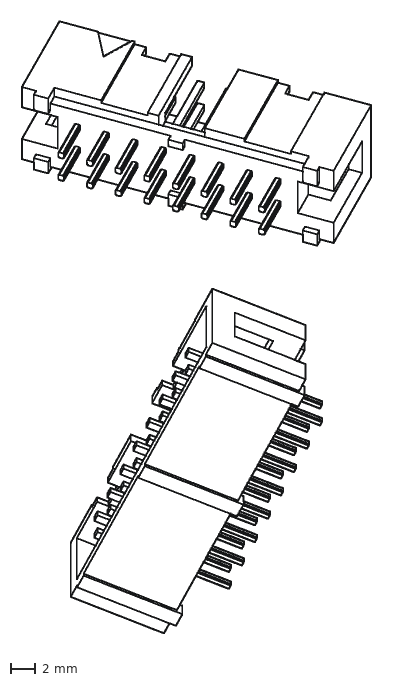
import cadquery as cq
import math

PITCH = 2.54
COLUMNS = 8
PINS_PER_COLUMN = 2

LENGTH = 27.64
DEPTH = 8.5
TOP = 8.5
RAIL_HEIGHT = 0.3
MID_Z = (TOP + RAIL_HEIGHT) / 2

WALL = 1.0
END_WALL = 1.2
BASE_THICKNESS = 2.4
CAVITY_LENGTH = LENGTH - 2 * END_WALL
CAVITY_TOP = TOP - WALL
CAVITY_BOTTOM = RAIL_HEIGHT + WALL

WINDOW_HEIGHT = 3.58
WINDOW_END_Y = 6.45
WINDOW_INNER_X = 10.64

LEDGE_DEPTH = 0.9
KEY_SLOT_WIDTH = 4.1
KEY_SLOT_FLOOR = 6.5
RECESS_WIDTH = 4.12
RECESS_DEPTH = 0.3
RECESS_CENTRES = (-2 * PITCH, 3 * PITCH)
LATCH_NOTCH_WIDTH = 2.08
LATCH_NOTCH_LENGTH = 1.0

MARK_WIDTH = 3.0
MARK_LENGTH = MARK_WIDTH * math.sin(math.radians(60))
MARK_DEPTH = 0.1

FOOT_WIDTH = 1.27
FOOT_LENGTH = 0.5
FOOT_OFFSET = 11.92
UPPER_FOOT_BOTTOM = 6.75
LOWER_FOOT_TOP = 1.3
LEDGE_LENGTH = 2 * FOOT_OFFSET - FOOT_WIDTH

POST_SIZE = 0.62
TAIL_WIDTH = 0.52
TAIL_HEIGHT = 0.6
TAIL_CHAMFER = 0.1
TAIL_LENGTH = 3.7
POST_TIP_Y = DEPTH


def block(x_range, y_range, z_range):
    """Box spanning the given (low, high) limits on each axis."""
    spans = [high - low for low, high in (x_range, y_range, z_range)]
    corner = (x_range[0], y_range[0], z_range[0])
    return cq.Workplane("XY").box(*spans, centered=False).translate(corner)


def centred(middle, width):
    """Limits of a span of the given width about its middle."""
    return (middle - width / 2, middle + width / 2)


def make_shell():
    """Housing block with the mating cavity hollowed out from the +Y side."""
    outer = block(centred(0, LENGTH), (0, DEPTH), (RAIL_HEIGHT, TOP))
    cavity = block(centred(0, CAVITY_LENGTH), (BASE_THICKNESS, DEPTH), (CAVITY_BOTTOM, CAVITY_TOP))
    return outer.cut(cavity)


def cut_end_windows(body):
    """Windows through the end walls that continue as slots through the base."""
    for low_x, high_x in ((-LENGTH / 2, -WINDOW_INNER_X), (WINDOW_INNER_X, LENGTH / 2)):
        body = body.cut(block((low_x, high_x), (0, WINDOW_END_Y), centred(MID_Z, WINDOW_HEIGHT)))
    return body


def cut_top_wall(body):
    """Tail-side ledge, polarising slot, and latch recesses with their mouth notches."""
    top_wall = (CAVITY_TOP, TOP)
    body = body.cut(block(centred(0, LEDGE_LENGTH), (0, LEDGE_DEPTH), top_wall))
    body = body.cut(block(centred(0, KEY_SLOT_WIDTH), (LEDGE_DEPTH, DEPTH), (KEY_SLOT_FLOOR, TOP)))
    for x in RECESS_CENTRES:
        body = body.cut(block(centred(x, RECESS_WIDTH), (0, DEPTH), (TOP - RECESS_DEPTH, TOP)))
        notch_y = (DEPTH - LATCH_NOTCH_LENGTH, DEPTH)
        body = body.cut(block(centred(x, LATCH_NOTCH_WIDTH), notch_y, top_wall))
    return body


def cut_pin_one_mark(body):
    """Shallow triangle above the first pin column, pointing at the tails."""
    x = -(COLUMNS - 1) / 2 * PITCH
    mark = (
        cq.Workplane("XY", origin=(x, DEPTH, TOP - MARK_DEPTH))
        .polyline([(-MARK_WIDTH / 2, 0), (MARK_WIDTH / 2, 0), (0, -MARK_LENGTH)])
        .close()
        .extrude(MARK_DEPTH)
    )
    return body.cut(mark)


def add_feet(body):
    """Feet on the tail side; the lower ones continue as rails under the housing."""
    for x in (-FOOT_OFFSET, 0, FOOT_OFFSET):
        foot_x = centred(x, FOOT_WIDTH)
        foot_y = (-FOOT_LENGTH, 0)
        upper_top = CAVITY_TOP if x == 0 else TOP
        body = body.union(block(foot_x, foot_y, (UPPER_FOOT_BOTTOM, upper_top)))
        body = body.union(block(foot_x, foot_y, (0, LOWER_FOOT_TOP)))
        body = body.union(block(foot_x, (-FOOT_LENGTH, DEPTH), (0, RAIL_HEIGHT)))
    return body


def add_pins(body):
    """Chamfered solder tails behind the base and square mating posts inside the cavity."""
    for column in range(COLUMNS):
        x = (column - (COLUMNS - 1) / 2) * PITCH
        for row in range(PINS_PER_COLUMN):
            z = MID_Z + (row - (PINS_PER_COLUMN - 1) / 2) * PITCH
            tail = block(centred(x, TAIL_WIDTH), (-TAIL_LENGTH, 0), centred(z, TAIL_HEIGHT))
            post = block(centred(x, POST_SIZE), (BASE_THICKNESS, POST_TIP_Y), centred(z, POST_SIZE))
            body = body.union(tail.edges("|Y").chamfer(TAIL_CHAMFER)).union(post)
    return body


housing = make_shell()
housing = cut_end_windows(housing)
housing = cut_top_wall(housing)
housing = cut_pin_one_mark(housing)
housing = add_feet(housing)
result = add_pins(housing)